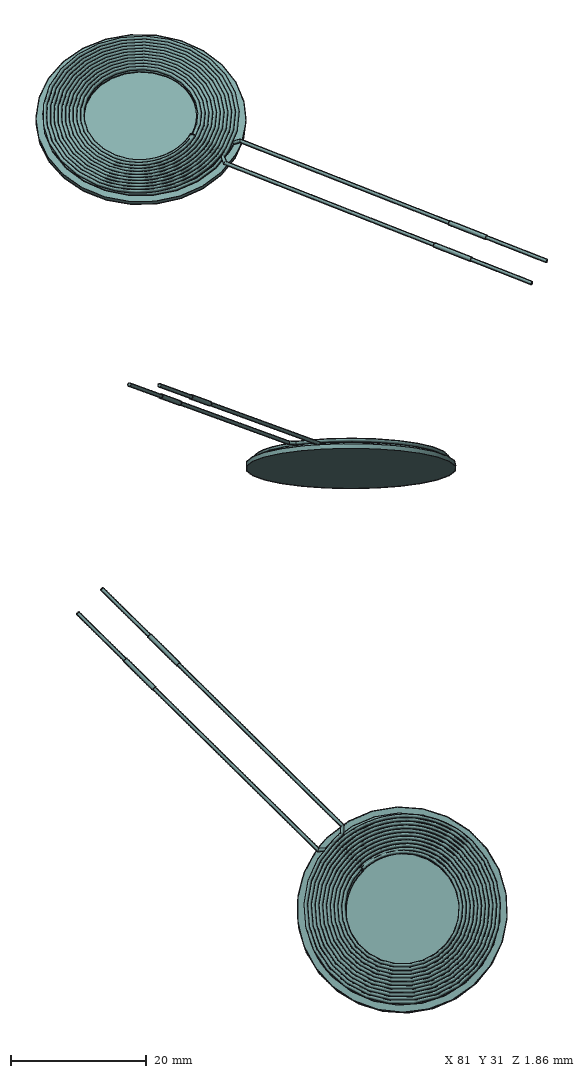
import cadquery as cq
import math

base_diameter = 31.0
base_thickness = 0.7

wire_diameter = 0.535
turn_count = 11
wire_pitch = 0.56
outer_turn_radius = 14.25
wire_sink = 0.02
inner_end_closing = 0.28
link_diameter = 0.4

overall_length = 81
lead_offset = 2.5
bend_start_offset = 1.6
bend_end_x = 15.1

sleeve_diameter = 0.7
sleeve_length = 6.1
bare_end_length = 10.0

lower_layer_z = base_thickness - wire_sink + wire_diameter / 2
upper_layer_z = lower_layer_z + wire_pitch
inner_turn_radius = outer_turn_radius - (turn_count - 1) * wire_pitch
inner_end_radius = inner_turn_radius - inner_end_closing
lead_end_x = overall_length - base_diameter / 2
sleeve_end_x = lead_end_x - bare_end_length


def turn_edges(radius, end_radius):
    """Three quarters of a circle, then a quarter ellipse that closes in to the end radius."""
    diagonal = radius * math.sqrt(0.5)
    turn = (
        cq.Workplane("XY", origin=(0, 0, upper_layer_z))
        .moveTo(radius, 0)
        .threePointArc((-diagonal, diagonal), (0, -radius))
        .ellipseArc(end_radius, radius, 270, 360, startAtCurrent=True)
    )
    return turn.ctx.pendingEdges


def spiral():
    """Upper layer, with its outer and inner ends on the +X axis."""
    edges = []
    for turn in range(turn_count - 1):
        radius = outer_turn_radius - turn * wire_pitch
        edges += turn_edges(radius, radius - wire_pitch)
    edges += turn_edges(inner_turn_radius, inner_end_radius)
    path = cq.Wire.assembleEdges(edges)
    return (
        cq.Workplane("XZ", origin=(outer_turn_radius, 0, upper_layer_z))
        .circle(wire_diameter / 2)
        .sweep(cq.Workplane(path))
    )


def lead():
    """Lead of the upper layer: on from the outer turn, out to one side and along X."""
    path = cq.Workplane("XY", origin=(0, 0, upper_layer_z)).polyline([
        (outer_turn_radius, 0),
        (outer_turn_radius, -bend_start_offset),
        (bend_end_x, -lead_offset),
        (lead_end_x, -lead_offset),
    ])
    return (
        cq.Workplane("XZ", origin=(outer_turn_radius, 0, upper_layer_z))
        .circle(wire_diameter / 2)
        .sweep(path, transition="right")
    )


def sleeve():
    return (
        cq.Workplane("YZ", origin=(sleeve_end_x, -lead_offset, upper_layer_z))
        .circle(sleeve_diameter / 2)
        .extrude(-sleeve_length)
    )


def layer_link():
    return (
        cq.Workplane("XY", origin=(inner_end_radius, 0, lower_layer_z))
        .circle(link_diameter / 2)
        .extrude(wire_pitch)
    )


base = cq.Workplane("XY").circle(base_diameter / 2).extrude(base_thickness)
upper_layer = spiral().union(lead()).union(sleeve())
lower_layer = upper_layer.mirror("XZ").translate((0, 0, -wire_pitch))

coil = layer_link().union(upper_layer).union(lower_layer)

result = base.union(coil)